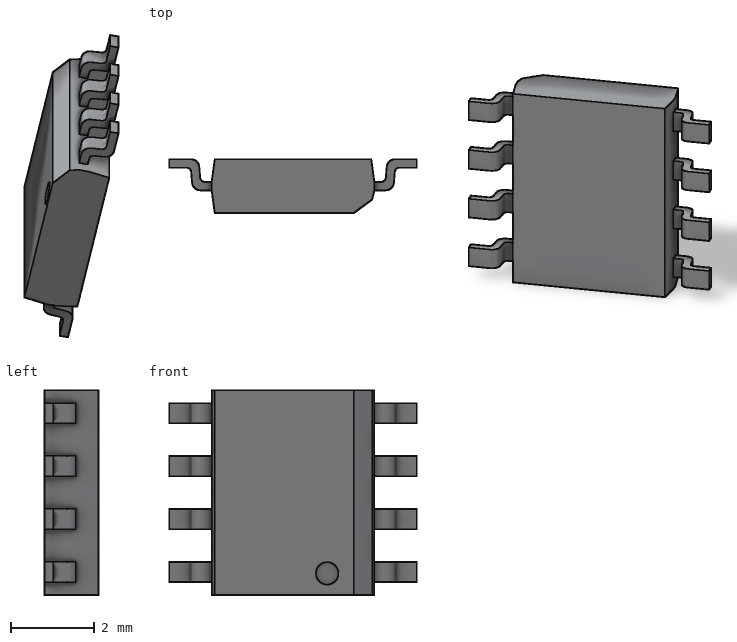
import cadquery as cq


body_height = 1.30
body_length = 4.92
body_base_width = 3.76
body_waist_width = 3.91
body_top_width = body_base_width

bevel_top_x = 1.455
bevel_flank_x = 1.90
bevel_flank_height = 0.975

lead_span = 5.95
lead_thickness = 0.21
lead_width = 0.49
lead_pitch = 1.27
leads_per_side = 4
lead_exit_height = 0.545
lead_exit_top = lead_exit_height + lead_thickness
knee_x = 2.41
heel_x = 2.455
inner_bend_radius = 0.105
outer_bend_radius = 0.21
lead_embed = 0.30

dimple_diameter = 0.54
dimple_depth = 0.10
dimple_x = 0.82
dimple_z = -1.938


def extrude_profile(points, length):
    """Extrude a profile of (X, height) points along Z, centred on Z = 0."""
    outline = [(x, -height) for x, height in points]
    return cq.Workplane("XY").polyline(outline).close().extrude(length / 2, both=True)


def make_body():
    base_x = body_base_width / 2
    waist_x = body_waist_width / 2
    top_x = body_top_width / 2
    profile = [
        (-base_x, 0),
        (base_x, 0),
        (waist_x, lead_exit_height),
        (waist_x, lead_exit_top),
        (bevel_flank_x, bevel_flank_height),
        (bevel_top_x, body_height),
        (-top_x, body_height),
        (-waist_x, lead_exit_top),
        (-waist_x, lead_exit_height),
    ]
    return extrude_profile(profile, body_length)


def make_lead():
    """Gull-wing lead on the +X side, centred on Z = 0."""
    tip_x = lead_span / 2
    root_x = body_waist_width / 2 - lead_embed
    lean = (heel_x - knee_x) / (lead_exit_top - lead_thickness)
    knee_inner_x = knee_x + lean * lead_thickness - lead_thickness
    heel_outer_x = heel_x + lean * lead_thickness - lead_thickness

    knee_outer = (knee_x, lead_exit_top)
    heel_inner = (heel_x, lead_thickness)
    knee_inner = (knee_inner_x, lead_exit_height)
    heel_outer = (heel_outer_x, 0)
    profile = [
        (root_x, lead_exit_top),
        knee_outer,
        heel_inner,
        (tip_x, lead_thickness),
        (tip_x, 0),
        heel_outer,
        knee_inner,
        (root_x, lead_exit_height),
    ]
    lead = extrude_profile(profile, lead_width)
    bends = [
        (knee_outer, outer_bend_radius),
        (heel_outer, outer_bend_radius),
        (knee_inner, inner_bend_radius),
        (heel_inner, inner_bend_radius),
    ]
    for (x, height), radius in bends:
        corner = cq.selectors.NearestToPointSelector((x, -height, 0))
        lead = lead.edges("|Z").edges(corner).fillet(radius)
    return lead


def add_leads(package):
    right_lead = make_lead()
    left_lead = right_lead.mirror("YZ")
    first_z = -lead_pitch * (leads_per_side - 1) / 2
    for index in range(leads_per_side):
        offset = (0, 0, first_z + index * lead_pitch)
        package = package.union(right_lead.translate(offset))
        package = package.union(left_lead.translate(offset))
    return package


def cut_dimple(package):
    floor_height = body_height - dimple_depth
    dimple = (
        cq.Workplane("XZ", origin=(dimple_x, -floor_height, dimple_z))
        .circle(dimple_diameter / 2)
        .extrude(dimple_depth)
    )
    return package.cut(dimple)


result = cut_dimple(add_leads(make_body()))